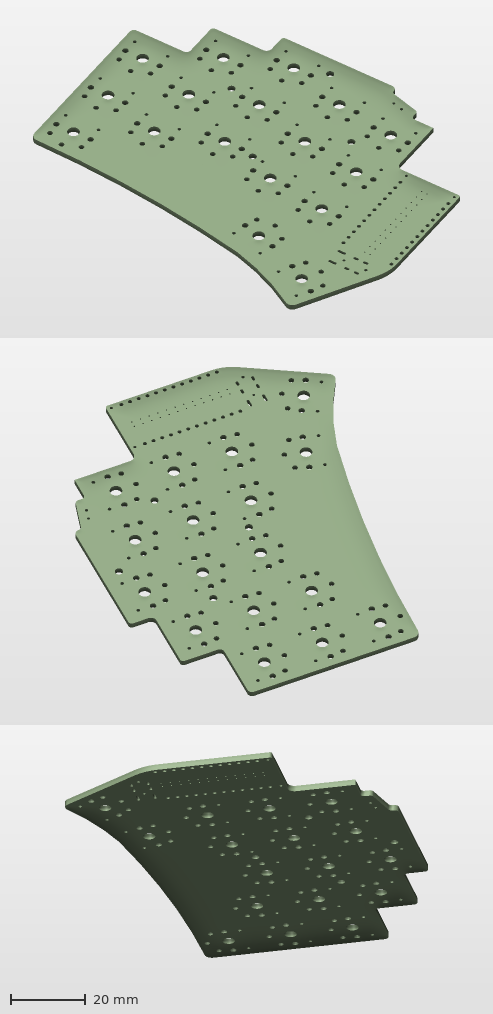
import math

import cadquery as cq

width = 109.0
height = 86.3
thickness = 1.6

column_pitch = 18.0
row_pitch = 17.0
rows = 3
first_column_x = 8.5
column_bottom_ys = [25.1, 37.0, 43.9, 38.6, 36.1]

thumb_switches = [
    (72.0, 18.1, 165.0),
    (90.7, 10.4, 150.0),
]

stem_diameter = 3.4
post_diameter = 1.7
post_offset_x = 5.5
pin_diameter = 1.5
centre_pin_offset_y = -5.9
side_pin_offset_x = 5.0
side_pin_offset_y = -3.8
clip_diameter = 0.99
clip_offset_x = 5.2
clip_offset_y = 4.2

screw_diameter = 2.2
screw_pair_x = 53.9
screw_pair_ys = [43.0, 81.2]
screw_side_offset_x = 19.1
screw_side_y = 62.1

header_x = 100.1
header_half_spacing = 7.6
header_pins = 12
header_top_y = 56.1
header_length = 28.0
header_pin_diameter = 1.1
via_diameter = 0.4
via_half_spacing = 0.85
end_hole_diameter = 0.82
end_hole_y = 59.1

slot_row_ys = [20.2, 24.7]
slot_width = 0.8
long_slot_x = 94.1
long_slot_length = 2.5
short_slot_xs = [98.7, 101.8]
short_slot_length = 1.5
locating_y = 22.5
small_locating_x = 96.3
large_locating_x = 103.3
small_hole_diameter = 0.8
large_hole_diameter = 0.9

small_wire_hole = (74.4, 80.8)
large_wire_hole = (77.4, 80.1)

step_xs = [17.7, 35.5]
step_ys = [67.2, 79.2]
top_right_x = 71.8
slope_start_y = 84.1
slope_end_x = 81.5
slope_angle = 15.0
shoulder_x = 88.5
shoulder_y = 78.6
controller_top_y = 60.4
tip_x = 93.8
tip_y = -0.8
tip_angle = 60.0
bottom_joint = (70.7, 9.6)
bottom_left_y = 17.0
palm_arc_middle = (36.4, 15.0)
thumb_arc_middle = (81.9, 5.7)

slope_end_y = slope_start_y - (slope_end_x - top_right_x) * math.tan(math.radians(slope_angle))
elbow_y = tip_y + (width - tip_x) * math.tan(math.radians(tip_angle))

rounded_corners = [
    (0, bottom_left_y, 2.0),
    (0, step_ys[0], 1.3),
    (step_xs[0], step_ys[0], 1.3),
    (step_xs[0], step_ys[1], 1.0),
    (step_xs[1], step_ys[1], 1.6),
    (step_xs[1], height, 1.0),
    (top_right_x, height, 1.3),
    (top_right_x, slope_start_y, 1.0),
    (slope_end_x, slope_end_y, 1.0),
    (slope_end_x, shoulder_y, 1.0),
    (shoulder_x, controller_top_y, 2.0),
    (width, controller_top_y, 0.7),
    (width, elbow_y, 13.5),
    (tip_x, tip_y, 2.0),
]


def make_plate():
    plate = (
        cq.Workplane("XY")
        .moveTo(0, bottom_left_y)
        .lineTo(0, step_ys[0])
        .lineTo(step_xs[0], step_ys[0])
        .lineTo(step_xs[0], step_ys[1])
        .lineTo(step_xs[1], step_ys[1])
        .lineTo(step_xs[1], height)
        .lineTo(top_right_x, height)
        .lineTo(top_right_x, slope_start_y)
        .lineTo(slope_end_x, slope_end_y)
        .lineTo(slope_end_x, shoulder_y)
        .lineTo(shoulder_x, shoulder_y)
        .lineTo(shoulder_x, controller_top_y)
        .lineTo(width, controller_top_y)
        .lineTo(width, elbow_y)
        .lineTo(tip_x, tip_y)
        .threePointArc(thumb_arc_middle, bottom_joint)
        .threePointArc(palm_arc_middle, (0, bottom_left_y))
        .close()
        .extrude(thickness)
    )
    for x, y, radius in rounded_corners:
        corner = cq.selectors.NearestToPointSelector((x, y, thickness / 2))
        plate = plate.edges("|Z").edges(corner).fillet(radius)
    return plate


def drills(points, diameter):
    return cq.Workplane("XY").pushPoints(points).circle(diameter / 2).extrude(thickness)


def slots(points, length):
    return cq.Workplane("XY").pushPoints(points).slot2D(length, slot_width).extrude(thickness)


def place_on_switches(offsets):
    """Centres of the given switch-relative points on every switch of the plate."""
    switches = list(thumb_switches)
    for column, bottom_y in enumerate(column_bottom_ys):
        for row in range(rows):
            switches.append((first_column_x + column * column_pitch, bottom_y + row * row_pitch, 0.0))
    points = []
    for x, y, rotation in switches:
        cosine = math.cos(math.radians(rotation))
        sine = math.sin(math.radians(rotation))
        for dx, dy in offsets:
            points.append((x + dx * cosine - dy * sine, y + dx * sine + dy * cosine))
    return points


def cut_switches(plate):
    posts = [(-post_offset_x, 0), (post_offset_x, 0)]
    pins = [
        (0, centre_pin_offset_y),
        (-side_pin_offset_x, side_pin_offset_y),
        (side_pin_offset_x, side_pin_offset_y),
    ]
    clips = [(-clip_offset_x, clip_offset_y), (clip_offset_x, clip_offset_y)]
    plate = plate.cut(drills(place_on_switches([(0, 0)]), stem_diameter))
    plate = plate.cut(drills(place_on_switches(posts), post_diameter))
    plate = plate.cut(drills(place_on_switches(pins), pin_diameter))
    return plate.cut(drills(place_on_switches(clips), clip_diameter))


def cut_screws(plate):
    points = [(screw_pair_x, y) for y in screw_pair_ys]
    points += [(screw_pair_x + side * screw_side_offset_x, screw_side_y) for side in (-1, 1)]
    return plate.cut(drills(points, screw_diameter))


def cut_controller(plate):
    pin_pitch = header_length / (header_pins - 1)
    for side in (-1, 1):
        pin_x = header_x + side * header_half_spacing
        via_x = header_x + side * via_half_spacing
        pin_ys = [header_top_y - i * pin_pitch for i in range(header_pins)]
        plate = plate.cut(drills([(pin_x, y) for y in pin_ys], header_pin_diameter))
        plate = plate.cut(drills([(via_x, y) for y in pin_ys], via_diameter))
        plate = plate.cut(drills([(pin_x, end_hole_y)], end_hole_diameter))
    return plate


def cut_jack(plate):
    for y in slot_row_ys:
        plate = plate.cut(slots([(long_slot_x, y)], long_slot_length))
        plate = plate.cut(slots([(x, y) for x in short_slot_xs], short_slot_length))
    return plate


def cut_small_holes(plate):
    small_points = [(small_locating_x, locating_y), small_wire_hole]
    large_points = [(large_locating_x, locating_y), large_wire_hole]
    plate = plate.cut(drills(small_points, small_hole_diameter))
    return plate.cut(drills(large_points, large_hole_diameter))


result = make_plate()
result = cut_switches(result)
result = cut_screws(result)
result = cut_controller(result)
result = cut_jack(result)
result = cut_small_holes(result)